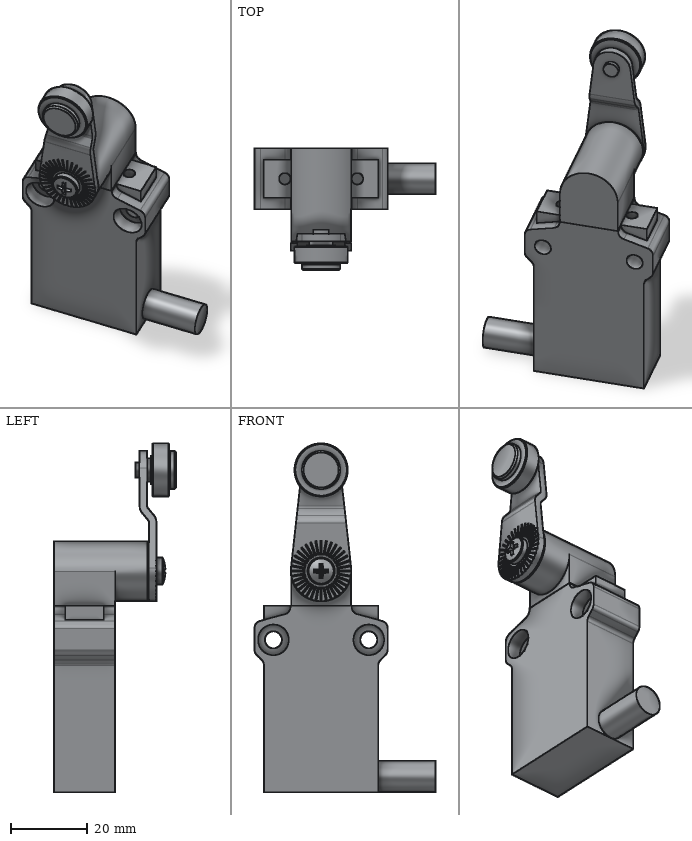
import cadquery as cq
import math


body_width = 30.0
body_depth = 16.0
body_height = 48.95
neck_width = 16.0
ear_width = 34.95
ear_bottom = 36.6
ear_top = 44.6
ear_slope = 15.0
corner_radius = 2.0
mount_spacing = 25.0
mount_height = 40.0
mount_diameter = 4.4
counterbore_diameter = 8.05
counterbore_depth = 4.0
bar_depth = 10.1
bar_bottom = 43.9
bar_hole_spacing = 19.0
bar_hole_diameter = 3.0
bar_hole_depth = 4.0

cable_diameter = 8.2
cable_length = 15.0
cable_height = 4.2

head_width = 15.7
head_length = 23.8
hub_height = 58.0
nose_length = 1.1
nose_chamfer = 0.5

lever_thickness = 2.0
lever_hub_radius = 8.0
lever_tip_radius = 5.0
lever_offset = 2.5
bend_angle = 40.0
bend_inner_radius = 1.0
bend_height = 72.9
serration_count = 36
serration_inner_radius = 4.3
serration_width = 0.4
serration_depth = 0.2

screw_radius = 3.6
screw_edge_height = 1.5
screw_chamfer = 0.3
screw_dome_height = 0.6
recess_length = 3.8
recess_width = 1.1
recess_floor_width = 0.3
recess_depth = 1.1

roller_diameter = 14.0
roller_width = 4.5
roller_chamfer = 0.3
roller_boss_radius = 3.75
roller_boss_height = 0.3
pin_gap = 1.0
pin_tail_radius = 2.0
pin_tail_length = 1.1
pin_shank_radius = 3.1
pin_head_radius = 5.0
pin_head_chamfer = 0.5

overall_height = 91.5
overall_depth = 32.0
roller_radius = roller_diameter / 2
roller_height = overall_height - roller_radius
lever_back = head_length + nose_length
lever_front = lever_back + lever_thickness
tip_back = lever_back - lever_offset
tip_front = tip_back + lever_thickness
boss_back = tip_front + pin_gap
roller_back = boss_back + roller_boss_height
roller_front = roller_back + roller_width
boss_front = roller_front + roller_boss_height


def front_plane(depth, height=0.0):
    """Work plane facing -Y, `depth` in front of the housing's back face."""
    return cq.Workplane("XZ", origin=(0, -depth, height))


def disc(radius, start, end, height):
    """Cylinder along Y between two depths."""
    return front_plane(start, height).circle(radius).extrude(end - start)


def make_housing():
    neck = neck_width / 2
    ear = ear_width / 2
    side = body_width / 2
    neck_foot = ear_top + (ear - neck) * math.tan(math.radians(ear_slope))
    ear_foot = ear_bottom - (ear - side)
    right = [
        (side, 0),
        (side, ear_foot),
        (ear, ear_bottom),
        (ear, ear_top),
        (neck, neck_foot),
        (neck, body_height),
    ]
    left = [(-x, z) for x, z in reversed(right)]
    housing = front_plane(0).polyline(right + left).close().extrude(body_depth)
    rounded_corners = right[1:-1]
    for x, z in rounded_corners:
        for sign in (-1, 1):
            corner = cq.selectors.NearestToPointSelector((sign * x, -body_depth / 2, z))
            housing = housing.edges("|Y").edges(corner).fillet(corner_radius)

    bar = cq.Workplane("XY", origin=(0, -body_depth / 2, bar_bottom))
    housing = housing.union(bar.rect(body_width, bar_depth).extrude(body_height - bar_bottom))
    bar_holes = (
        cq.Workplane("XY", origin=(0, -body_depth / 2, body_height))
        .pushPoints([(-bar_hole_spacing / 2, 0), (bar_hole_spacing / 2, 0)])
        .circle(bar_hole_diameter / 2)
        .extrude(-bar_hole_depth)
    )
    mounts = front_plane(body_depth, mount_height).pushPoints(
        [(-mount_spacing / 2, 0), (mount_spacing / 2, 0)]
    )
    through = mounts.circle(mount_diameter / 2).extrude(-body_depth)
    counterbores = mounts.circle(counterbore_diameter / 2).extrude(-counterbore_depth)
    return housing.cut(bar_holes).cut(through).cut(counterbores)


def make_cable():
    end = cq.Workplane("YZ", origin=(body_width / 2, -body_depth / 2, cable_height))
    return end.circle(cable_diameter / 2).extrude(cable_length)


def make_head():
    radius = head_width / 2
    block = (
        front_plane(0)
        .moveTo(-radius, body_height)
        .lineTo(radius, body_height)
        .lineTo(radius, hub_height)
        .threePointArc((0, hub_height + radius), (-radius, hub_height))
        .close()
        .extrude(body_depth)
    )
    barrel = disc(radius, 0, head_length, hub_height)
    nose = disc(radius, head_length, lever_back, hub_height).faces("<Y").chamfer(nose_chamfer)
    return block.union(barrel).union(nose)


def make_lever():
    pin_hole = disc(pin_tail_radius, tip_back, tip_front, roller_height)
    return lever_blank().cut(serrations()).cut(pin_hole)


def lever_blank():
    """Bent strip cut to an outline of two arcs and their common tangents."""
    angle = math.radians(bend_angle)
    outer = bend_inner_radius + lever_thickness
    bend_rise = (bend_inner_radius + outer) * math.sin(angle)
    bend_shift = (bend_inner_radius + outer) * (1 - math.cos(angle))
    slope_length = (lever_offset - bend_shift) / math.sin(angle)
    half_rise = (bend_rise + slope_length * math.cos(angle)) / 2
    low = bend_height - half_rise
    high = bend_height + half_rise
    bottom = hub_height - lever_hub_radius
    top = roller_height + lever_tip_radius

    lower_y = -lever_back + bend_inner_radius
    upper_y = -tip_front - bend_inner_radius

    def lower(radius, turn):
        return (lower_y - radius * math.cos(turn), low + radius * math.sin(turn))

    def upper(radius, turn):
        return (upper_y + radius * math.cos(turn), high - radius * math.sin(turn))

    strip = (
        cq.Workplane("YZ", origin=(-lever_hub_radius, 0, 0))
        .moveTo(-lever_front, bottom)
        .lineTo(*lower(outer, 0))
        .threePointArc(lower(outer, angle / 2), lower(outer, angle))
        .lineTo(*upper(bend_inner_radius, angle))
        .threePointArc(upper(bend_inner_radius, angle / 2), upper(bend_inner_radius, 0))
        .lineTo(-tip_front, top)
        .lineTo(-tip_back, top)
        .lineTo(*upper(outer, 0))
        .threePointArc(upper(outer, angle / 2), upper(outer, angle))
        .lineTo(*lower(bend_inner_radius, angle))
        .threePointArc(lower(bend_inner_radius, angle / 2), lower(bend_inner_radius, 0))
        .lineTo(-lever_back, bottom)
        .close()
        .extrude(2 * lever_hub_radius)
    )

    taper = math.asin((lever_hub_radius - lever_tip_radius) / (roller_height - hub_height))
    hub_x = lever_hub_radius * math.cos(taper)
    hub_z = hub_height + lever_hub_radius * math.sin(taper)
    tip_x = lever_tip_radius * math.cos(taper)
    tip_z = roller_height + lever_tip_radius * math.sin(taper)
    outline = (
        front_plane(0)
        .moveTo(hub_x, hub_z)
        .lineTo(tip_x, tip_z)
        .threePointArc((0, top), (-tip_x, tip_z))
        .lineTo(-hub_x, hub_z)
        .threePointArc((0, bottom), (hub_x, hub_z))
        .close()
        .extrude(overall_depth)
    )
    return strip.intersect(outline)


def serrations():
    """Ring of radial V grooves in the front of the lever hub."""
    groove = (
        cq.Workplane("YZ", origin=(serration_inner_radius, -lever_front, hub_height))
        .polyline([(0, -serration_width / 2), (serration_depth, 0), (0, serration_width / 2)])
        .close()
        .extrude(lever_hub_radius - serration_inner_radius)
    )
    grooves = [
        groove.rotate((0, 0, hub_height), (0, 1, hub_height), i * 360 / serration_count).val()
        for i in range(serration_count)
    ]
    return cq.Workplane(cq.Compound.makeCompound(grooves))


def make_screw():
    edge = lever_front + screw_edge_height
    rim = edge + screw_chamfer
    top = rim + screw_dome_height
    rim_radius = screw_radius - screw_chamfer
    sphere_radius = (rim_radius**2 + screw_dome_height**2) / (2 * screw_dome_height)
    middle_radius = rim_radius / 2
    middle = top - sphere_radius + math.sqrt(sphere_radius**2 - middle_radius**2)
    screw = (
        cq.Workplane("XY", origin=(0, 0, hub_height))
        .moveTo(0, -lever_front)
        .lineTo(screw_radius, -lever_front)
        .lineTo(screw_radius, -edge)
        .lineTo(rim_radius, -rim)
        .threePointArc((middle_radius, -middle), (0, -top))
        .close()
        .revolve(360, (0, 0, 0), (0, 1, 0))
    )
    slot = (
        cq.Workplane("YZ", origin=(-recess_length / 2, -top, hub_height))
        .polyline(
            [
                (0, -recess_width / 2),
                (recess_depth, -recess_floor_width / 2),
                (recess_depth, recess_floor_width / 2),
                (0, recess_width / 2),
            ]
        )
        .close()
        .extrude(recess_length)
    )
    cross_slot = slot.rotate((0, 0, hub_height), (0, 1, hub_height), 90)
    return screw.cut(slot).cut(cross_slot)


def make_roller():
    tyre = disc(roller_radius, roller_back, roller_front, roller_height)
    tyre = tyre.edges("%CIRCLE").chamfer(roller_chamfer)
    boss = disc(roller_boss_radius, boss_back, boss_front, roller_height)
    bore = disc(pin_shank_radius, boss_back, boss_front, roller_height)
    return tyre.union(boss).cut(bore)


def make_pin():
    tail = disc(pin_tail_radius, tip_back - pin_tail_length, tip_front, roller_height)
    shank = disc(pin_shank_radius, tip_front, boss_front, roller_height)
    head = disc(pin_head_radius, boss_front, overall_depth, roller_height)
    return tail.union(shank).union(head.faces("<Y").chamfer(pin_head_chamfer))


housing = make_housing()
cable = make_cable()
head = make_head()
lever = make_lever()
screw = make_screw()
roller = make_roller()
roller_pin = make_pin()

result = cq.Compound.makeCompound(
    [
        housing.val(),
        cable.val(),
        head.val(),
        lever.val(),
        screw.val(),
        roller.val(),
        roller_pin.val(),
    ]
)